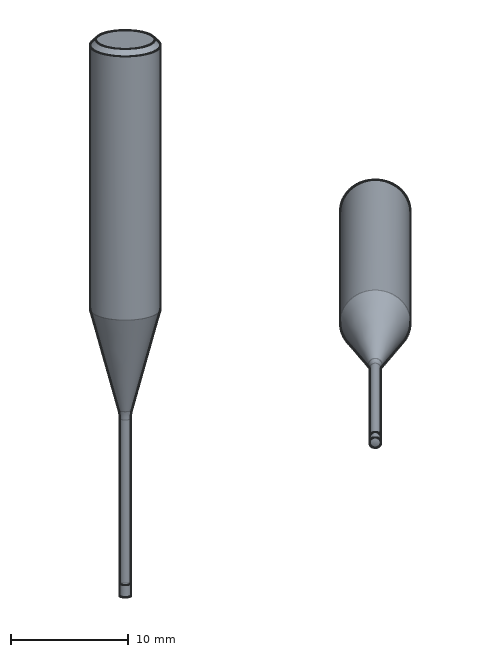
import math
import cadquery as cq

total_length = 50.0
shank_diameter = 6.0
shank_chamfer = 0.5
neck_diameter = 0.95
neck_end_z = 16.0
neck_blend_radius = 3.0
cone_half_angle = math.radians(15)
head_top_diameter = 1.0
head_bottom_diameter = 0.98
head_length = 1.2
dome_height = 0.08
relief_length = 0.15

shank_radius = shank_diameter / 2
neck_radius = neck_diameter / 2
head_top_radius = head_top_diameter / 2
head_bottom_radius = head_bottom_diameter / 2


def blend_point(angle):
    """Point on the concave blend, at the given angle up from the end of the straight neck."""
    radius = neck_radius + neck_blend_radius * (1 - math.cos(angle))
    return radius, neck_end_z + neck_blend_radius * math.sin(angle)


def turn(profile):
    """Revolve a closed XZ half-profile about the tool axis."""
    return profile.revolve(360, (0, 0, 0), (0, 1, 0))


def make_holder():
    """Shank, cone and slender neck, ending in a short relief flare on top of the cutting head."""
    cone_tip_radius, cone_tip_z = blend_point(cone_half_angle)
    cone_length = (shank_radius - cone_tip_radius) / math.tan(cone_half_angle)
    profile = (
        cq.Workplane("XZ")
        .moveTo(0, head_length)
        .lineTo(head_top_radius, head_length)
        .lineTo(neck_radius, head_length + relief_length)
        .lineTo(neck_radius, neck_end_z)
        .threePointArc(blend_point(cone_half_angle / 2), (cone_tip_radius, cone_tip_z))
        .lineTo(shank_radius, cone_tip_z + cone_length)
        .lineTo(shank_radius, total_length - shank_chamfer)
        .lineTo(shank_radius - shank_chamfer, total_length)
        .lineTo(0, total_length)
        .close()
    )
    return turn(profile)


def make_cutting_head():
    """Short, slightly tapered head with a shallow spherical dome at its lower end."""
    dome_radius = (head_bottom_radius**2 + dome_height**2) / (2 * dome_height)
    half_angle = math.asin(head_bottom_radius / dome_radius) / 2
    dome_middle = (dome_radius * math.sin(half_angle), dome_radius * (1 - math.cos(half_angle)))
    profile = (
        cq.Workplane("XZ")
        .threePointArc(dome_middle, (head_bottom_radius, dome_height))
        .lineTo(head_top_radius, head_length)
        .lineTo(0, head_length)
        .close()
    )
    return turn(profile)


holder = make_holder()
cutting_head = make_cutting_head()

result = cq.Compound.makeCompound([holder.val(), cutting_head.val()])